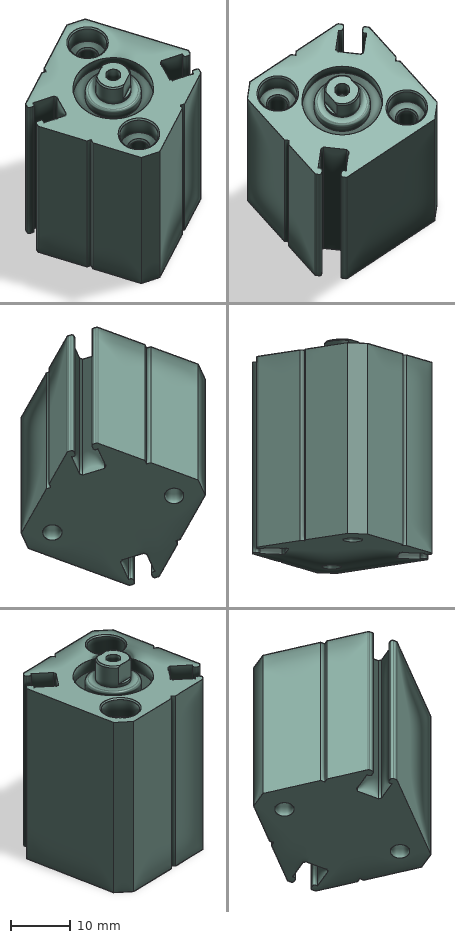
import cadquery as cq
import math

total_height = 36.5
side = 25.0
half_side = side / 2
rod_projection = 3.5
housing_height = total_height - rod_projection
corner_chamfer = 2.4

slot_angles = (45, 225)
slot_floor_distance = 9.53
slot_shoulder_distance = 13.72
lip_tip_distance = 15.0
slot_half_width = 2.37
mouth_half_width = 1.65
floor_corner_chamfer = 0.4
lip_fillet = 0.4
corner_distance = half_side * math.sqrt(2)

groove_depth = 0.55
groove_offset = 0.73
groove_angles = (180, 270, 0)

hole_offset = 7.77
hole_diameter = 3.25
hole_chamfer = 0.3
counterbore_diameter = 6.5
counterbore_depth = 3.5
counterbore_chamfer = 0.25

recess_diameter = 13.58
recess_depth = 2.23
collar_diameter = 9.53
collar_drop = 0.5
collar_fillet = 0.5
collar_top = housing_height - collar_drop

rod_diameter = 6.02
rod_chamfer = 0.25
flat_width = 4.95
rod_hole_diameter = 2.52
rod_hole_depth = rod_projection


def make_block():
    """Square block with the two slotless corners and the tips of the slot lips cut off."""
    block = cq.Workplane("XY").rect(side, side).extrude(housing_height)
    for sign in (-1, 1):
        corner = (sign * half_side, -sign * half_side, housing_height / 2)
        block = block.edges(cq.selectors.NearestToPointSelector(corner)).chamfer(corner_chamfer)
    tip_chamfer = (corner_distance - lip_tip_distance) * math.sqrt(2)
    for sign in (-1, 1):
        corner = (sign * half_side, sign * half_side, housing_height / 2)
        block = block.edges(cq.selectors.NearestToPointSelector(corner)).chamfer(tip_chamfer)
    return block


def make_slot_cutter(angle):
    """T-slot profile drawn along +X, then turned onto its diagonal."""
    upper_half = [
        (slot_floor_distance, slot_half_width - floor_corner_chamfer),
        (slot_floor_distance + floor_corner_chamfer, slot_half_width),
        (slot_shoulder_distance, slot_half_width),
        (slot_shoulder_distance, mouth_half_width),
        (corner_distance, mouth_half_width),
    ]
    lower_half = [(x, -y) for x, y in reversed(upper_half)]
    cutter = cq.Workplane("XY").polyline(upper_half + lower_half).close().extrude(housing_height)
    return cutter.rotate((0, 0, 0), (0, 0, 1), angle)


def round_slot_lips(body):
    """Round the three long edges of each of the four slot lips."""
    face_edge_half_width = corner_distance - lip_tip_distance
    lip_edges = [
        (slot_shoulder_distance, mouth_half_width),
        (lip_tip_distance, mouth_half_width),
        (lip_tip_distance, face_edge_half_width),
    ]
    edges = []
    for angle in slot_angles:
        turn = math.radians(angle)
        for along, across in lip_edges:
            for side_sign in (-1, 1):
                x = along * math.cos(turn) - side_sign * across * math.sin(turn)
                y = along * math.sin(turn) + side_sign * across * math.cos(turn)
                point = (x, y, housing_height / 2)
                edges += body.edges(cq.selectors.NearestToPointSelector(point)).vals()
    return body.newObject(edges).fillet(lip_fillet)


def make_groove_cutter(angle):
    """V-groove along the +X side, then turned onto its own side."""
    groove = (
        cq.Workplane("XY")
        .moveTo(half_side, groove_offset - groove_depth)
        .lineTo(half_side - groove_depth, groove_offset)
        .lineTo(half_side, groove_offset + groove_depth)
        .close()
        .extrude(housing_height)
    )
    return groove.rotate((0, 0, 0), (0, 0, 1), angle)


def make_mounting_hole_cutter(x, y):
    """Through hole with a counterbore, both chamfered at their upper rims."""
    hole_radius = hole_diameter / 2
    counterbore_radius = counterbore_diameter / 2
    counterbore_floor = housing_height - counterbore_depth
    half_section = [
        (0, 0),
        (hole_radius, 0),
        (hole_radius, counterbore_floor - hole_chamfer),
        (hole_radius + hole_chamfer, counterbore_floor),
        (counterbore_radius, counterbore_floor),
        (counterbore_radius, housing_height - counterbore_chamfer),
        (counterbore_radius + counterbore_chamfer, housing_height),
        (0, housing_height),
    ]
    cutter = cq.Workplane("XZ").polyline(half_section).close().revolve(360, (0, 0), (0, 1))
    return cutter.translate((x, y, 0))


def make_recess_cutter():
    """Round recess that leaves the rounded collar standing in its middle."""
    recess_floor = housing_height - recess_depth
    recess = (
        cq.Workplane("XY")
        .workplane(offset=recess_floor)
        .circle(recess_diameter / 2)
        .extrude(recess_depth)
    )
    collar = (
        cq.Workplane("XY")
        .workplane(offset=recess_floor)
        .circle(collar_diameter / 2)
        .extrude(collar_top - recess_floor)
        .faces(">Z")
        .edges()
        .fillet(collar_fillet)
    )
    return recess.cut(collar)


def make_housing():
    body = make_block()
    for angle in slot_angles:
        body = body.cut(make_slot_cutter(angle))
    body = round_slot_lips(body)
    for angle in groove_angles:
        body = body.cut(make_groove_cutter(angle))
    for sign in (-1, 1):
        body = body.cut(make_mounting_hole_cutter(sign * hole_offset, -sign * hole_offset))
    return body.cut(make_recess_cutter())


def make_rod():
    """Round rod with two flats above the housing top and a blind hole in its end."""
    rod = (
        cq.Workplane("XY")
        .workplane(offset=collar_top)
        .circle(rod_diameter / 2)
        .extrude(total_height - collar_top)
        .faces(">Z")
        .edges()
        .chamfer(rod_chamfer)
    )
    flats_envelope = (
        cq.Workplane("XY")
        .workplane(offset=housing_height)
        .rect(flat_width, rod_diameter)
        .extrude(rod_projection)
    )
    shank = (
        cq.Workplane("XY")
        .workplane(offset=collar_top)
        .circle(rod_diameter / 2)
        .extrude(collar_drop)
    )
    rod = rod.intersect(flats_envelope.union(shank))
    end_hole = (
        cq.Workplane("XY")
        .workplane(offset=total_height - rod_hole_depth)
        .circle(rod_hole_diameter / 2)
        .extrude(rod_hole_depth)
    )
    return rod.cut(end_hole)


housing = make_housing()
rod = make_rod()
result = cq.Compound.makeCompound([housing.val(), rod.val()])